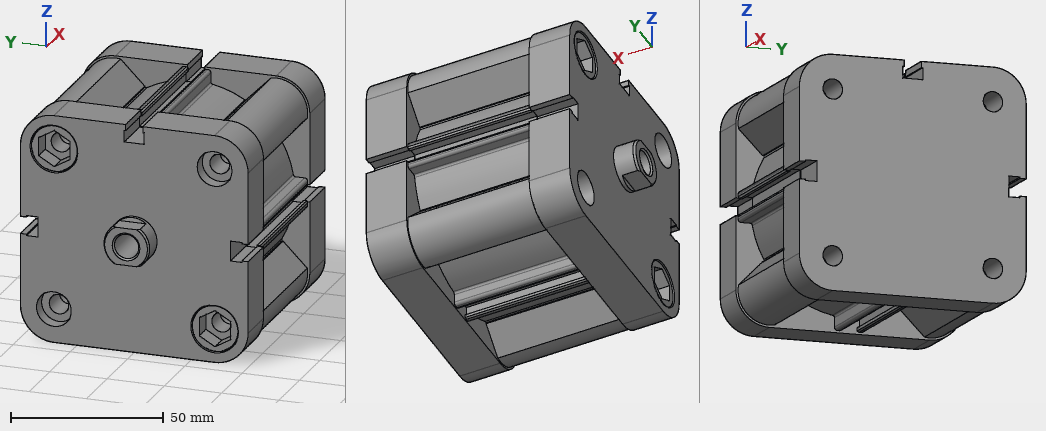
import cadquery as cq
import math


cylinder_length = 83.0
rod_projection = 8.0
cap_thickness = 14.9
front_face_x = 0.0
barrel_start_x = front_face_x + cap_thickness
cylinder_end_x = front_face_x + cylinder_length - rod_projection
rear_cap_x = cylinder_end_x - cap_thickness
barrel_length = rear_cap_x - barrel_start_x

cap_size = 79.5
cap_half = cap_size / 2
cap_corner_radius = 11.7
hole_offset = cap_half - cap_corner_radius
through_radius = 3.4
counterbore_radius = 6.1
counterbore_depth = 5.0

head_radius = 8.0
head_recess = 0.4
groove_radius = 8.3
groove_depth = 1.0
hex_across_flats = 10.95
hex_depth = 6.5

cap_slot_half_opening = 3.0
slot_half_width = 3.5
slot_lip_underside = 37.6
cap_slot_floor = 33.6
CAP_SLOT_ANGLES = (0, 90, -90)

barrel_inset = 0.75
barrel_half = cap_half - barrel_inset
barrel_corner_radius = cap_corner_radius - barrel_inset
barrel_slot_floor = 33.95
lip_half_opening = 2.65
lip_chamfer_width = 0.75
lip_chamfer_height = 0.3
lip_outer_half = 5.2
lip_outer_radius = 1.1
lip_root_radius = 0.75
shell_radius = 34.5
shell_end = 17.1
flank_foot = 17.85
flank_end = 26.3
BARREL_SIDE_ANGLES = (0, 90, 180, 270)

rod_radius = 8.0
rod_chamfer_length = 0.8
rod_chamfer_height = 0.5
rod_flat_half = 6.5
rod_flat_length = 6.4
rod_flat_end_slope = 0.3
rod_bore_radius = 4.2
rod_bore_chamfer = 0.6
rod_bore_depth = 16.6
drill_point_angle = 118.0

clearance = 0.8


def section_plane(x):
    """Workplane across the cylinder axis: local x is Y, local y is Z, normal is +X."""
    return cq.Workplane("YZ", origin=(x, 0, 0))


def around_axis(shape, angle):
    return shape.rotate((0, 0, 0), (1, 0, 0), angle)


def corner_holes(x, length):
    return (
        section_plane(x)
        .rect(2 * hole_offset, 2 * hole_offset, forConstruction=True)
        .vertices()
        .circle(through_radius)
        .extrude(length)
    )


def cap_slot(x):
    right_half = [
        (cap_slot_half_opening, cap_half + clearance),
        (cap_slot_half_opening, slot_lip_underside),
        (slot_half_width, slot_lip_underside),
        (slot_half_width, cap_slot_floor),
    ]
    left_half = [(-y, z) for y, z in reversed(right_half)]
    return section_plane(x).polyline(right_half + left_half).close().extrude(cap_thickness)


def cap_blank(x):
    """Rounded square cap with T-slots on the top and both sides and four through holes."""
    cap = section_plane(x).rect(cap_size, cap_size).extrude(cap_thickness)
    cap = cap.edges("|X").fillet(cap_corner_radius)
    for angle in CAP_SLOT_ANGLES:
        cap = cap.cut(around_axis(cap_slot(x), angle))
    return cap.cut(corner_holes(x, cap_thickness))


def make_front_cap():
    """Front cap: counterbores on one diagonal, hex socket heads on the other, and the rod hole."""
    cap = cap_blank(front_face_x)
    face = section_plane(front_face_x)
    counterbore_centers = [(-hole_offset, hole_offset), (hole_offset, -hole_offset)]
    head_centers = [(hole_offset, hole_offset), (-hole_offset, -hole_offset)]

    counterbores = face.pushPoints(counterbore_centers).circle(counterbore_radius).extrude(counterbore_depth)
    cap = cap.cut(counterbores)

    head_face = section_plane(front_face_x + head_recess)
    groove_bore = face.pushPoints(head_centers).circle(groove_radius).extrude(head_recess + groove_depth)
    heads = head_face.pushPoints(head_centers).circle(head_radius).extrude(groove_depth)
    cap = cap.cut(groove_bore.cut(heads))

    hex_diameter = hex_across_flats / math.cos(math.radians(30))
    for y, z in head_centers:
        socket = head_face.polygon(6, hex_diameter).extrude(hex_depth)
        cap = cap.cut(around_axis(socket, 90).translate((0, y, z)))

    return cap.cut(face.circle(rod_radius).extrude(cap_thickness))


def make_rear_cap():
    return cap_blank(rear_cap_x)


def shell_height(y):
    """Height Z of the round shell at the given Y."""
    return math.sqrt(shell_radius**2 - y**2)


def barrel_wedge():
    """One eighth of the profile, from the middle of the top slot to the corner diagonal."""
    lip_top_start = lip_half_opening + lip_chamfer_width
    lip_top_end = lip_outer_half - lip_outer_radius
    shell_start = lip_outer_half + lip_root_radius
    shell_middle = (shell_start + shell_end) / 2
    flank_top_z = hole_offset + math.sqrt(barrel_corner_radius**2 - (flank_end - hole_offset) ** 2)
    flank_foot_z = flank_top_z - (flank_end - flank_foot)
    corner_diagonal = hole_offset + barrel_corner_radius / math.sqrt(2)
    return (
        section_plane(barrel_start_x)
        .lineTo(0, barrel_slot_floor)
        .lineTo(slot_half_width, barrel_slot_floor)
        .lineTo(slot_half_width, slot_lip_underside)
        .lineTo(lip_half_opening, slot_lip_underside)
        .lineTo(lip_half_opening, barrel_half - lip_chamfer_height)
        .lineTo(lip_top_start, barrel_half)
        .lineTo(lip_top_end, barrel_half)
        .radiusArc((lip_outer_half, barrel_half - lip_outer_radius), lip_outer_radius)
        .lineTo(lip_outer_half, shell_height(shell_start) + lip_root_radius)
        .radiusArc((shell_start, shell_height(shell_start)), -lip_root_radius)
        .threePointArc((shell_middle, shell_height(shell_middle)), (shell_end, shell_height(shell_end)))
        .lineTo(flank_foot, shell_height(shell_end))
        .lineTo(flank_foot, flank_foot_z)
        .lineTo(flank_end, flank_top_z)
        .threePointArc((hole_offset, barrel_half), (corner_diagonal, corner_diagonal))
        .close()
        .extrude(barrel_length)
    )


def make_barrel():
    """Profiled barrel with the same slot, pockets and corner rounds on each of its four sides."""
    wedge = barrel_wedge()
    side = wedge.union(wedge.mirror("XZ"))
    barrel = side
    for angle in BARREL_SIDE_ANGLES[1:]:
        barrel = barrel.union(around_axis(side, angle))
    return barrel.clean().cut(corner_holes(barrel_start_x, barrel_length))


def rod_flat(tip_x):
    """Wedge-ended block that cuts the upper wrench flat."""
    top = rod_radius + clearance
    slope_run = rod_flat_end_slope * (top - rod_flat_half) / (rod_radius - rod_flat_half)
    outline = [
        (tip_x, rod_flat_half),
        (tip_x + rod_flat_length, rod_flat_half),
        (tip_x + rod_flat_length + slope_run, top),
        (tip_x, top),
    ]
    return cq.Workplane("XZ").polyline(outline).close().extrude(rod_radius, both=True)


def make_rod():
    """Round rod with a chamfered tip, two wrench flats and a blind bore with a drill point."""
    tip_x = front_face_x - rod_projection
    bore_end_x = tip_x + rod_bore_depth
    drill_point_length = rod_bore_radius / math.tan(math.radians(drill_point_angle / 2))
    outline = [
        (tip_x, rod_bore_radius + rod_bore_chamfer),
        (tip_x, rod_radius - rod_chamfer_height),
        (tip_x + rod_chamfer_length, rod_radius),
        (barrel_start_x, rod_radius),
        (barrel_start_x, 0),
        (bore_end_x + drill_point_length, 0),
        (bore_end_x, rod_bore_radius),
        (tip_x + rod_bore_chamfer, rod_bore_radius),
    ]
    rod = cq.Workplane("XY").polyline(outline).close().revolve(360, (0, 0, 0), (1, 0, 0))
    for angle in (0, 180):
        rod = rod.cut(around_axis(rod_flat(tip_x), angle))
    return rod


front_cap = make_front_cap()
barrel = make_barrel()
rear_cap = make_rear_cap()
piston_rod = make_rod()

bodies = (front_cap, barrel, rear_cap, piston_rod)
result = cq.Compound.makeCompound([body.solids().val() for body in bodies])